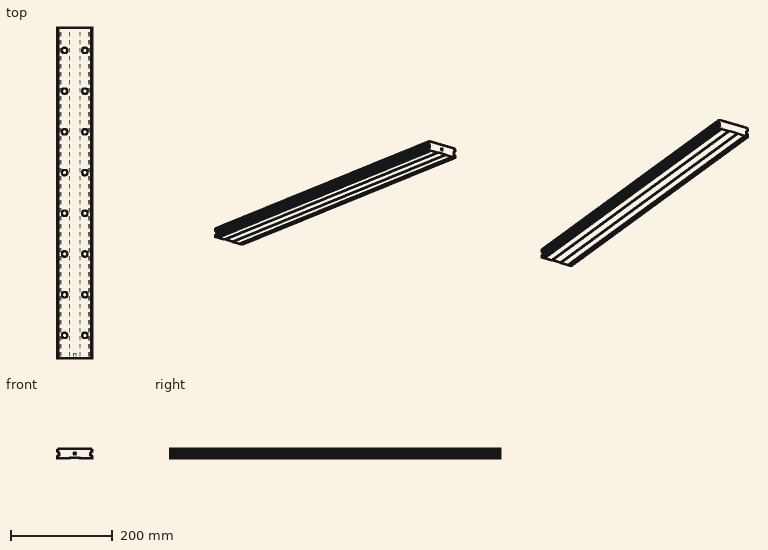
import cadquery as cq

rail_width = 69.0
rail_length = 650.0
rail_height = 19.0
half_width = rail_width / 2
front_end_y = -rail_length / 2

foot_edge_height = 3.5
ledge_half_width = 32.0
ledge_height = 6.2

neck_half_width = 30.5
neck_top = 10.0

lower_track_half_width = 31.8
head_edge_bottom = 13.6
head_edge_top = 16.4
top_half_width = 32.1
track_sag = 0.78

centre_relief_width = 20.0
centre_relief_depth = 0.7
base_slot_width = 1.0
base_slot_depth = 0.5
base_slot_spacing = 56.0

hole_diameter = 11.0
hole_depth = 0.2
hole_pitch = 80.0
hole_row_spacing = 40.0
holes_per_row = 8

end_hole_diameter = 4.0
end_hole_depth = 10.0
end_hole_height = 9.3


def make_rail():
    """Extrude the right half of the cross-section along Y and mirror it."""
    right_half = (
        cq.Workplane("XZ")
        .lineTo(half_width, 0)
        .lineTo(half_width, foot_edge_height)
        .lineTo(ledge_half_width, ledge_height)
        .lineTo(neck_half_width, ledge_height)
        .lineTo(neck_half_width, neck_top)
        .lineTo(lower_track_half_width, neck_top)
        .sagittaArc((half_width, head_edge_bottom), track_sag)
        .lineTo(half_width, head_edge_top)
        .sagittaArc((top_half_width, rail_height), track_sag)
        .lineTo(0, rail_height)
        .close()
        .extrude(rail_length / 2, both=True)
    )
    return right_half.union(right_half.mirror("YZ"))


def make_base_groove(x, width, depth):
    """Cutter for a groove along the whole base, centred on x."""
    return (
        cq.Workplane("XY")
        .center(x, 0)
        .rect(width, rail_length)
        .extrude(depth)
    )


def make_mounting_holes():
    """Cutters for the two rows of shallow holes in the top face."""
    return (
        cq.Workplane("XY", origin=(0, 0, rail_height))
        .rarray(hole_row_spacing, hole_pitch, 2, holes_per_row)
        .circle(hole_diameter / 2)
        .extrude(-hole_depth)
    )


def make_end_hole():
    """Cutter for the blind hole running in from the front end face."""
    return (
        cq.Workplane("XZ", origin=(0, front_end_y, end_hole_height))
        .circle(end_hole_diameter / 2)
        .extrude(-end_hole_depth)
    )


rail = make_rail()
rail = rail.cut(make_base_groove(0, centre_relief_width, centre_relief_depth))
for side in (-1, 1):
    slot_x = side * base_slot_spacing / 2
    rail = rail.cut(make_base_groove(slot_x, base_slot_width, base_slot_depth))
rail = rail.cut(make_mounting_holes())
result = rail.cut(make_end_hole())